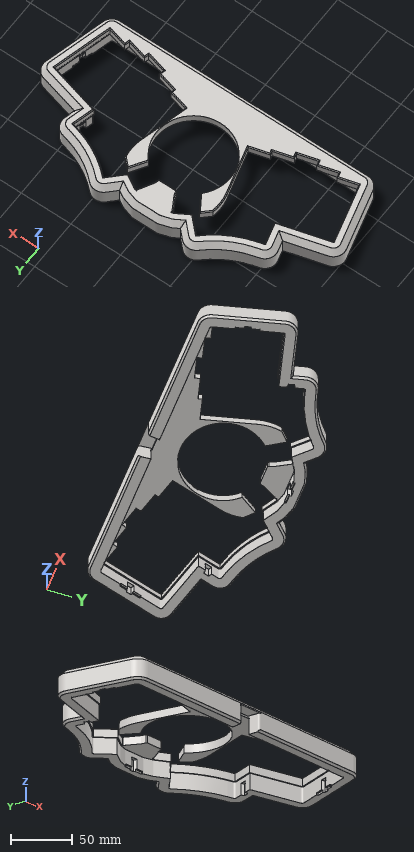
import cadquery as cq
import math

LENGTH = 303.7
WIDTH = 141.5
HEIGHT = 22.8
RIM = 11.5
PLATE_BOTTOM = 14.5
PLATE_LIP = 1.0
CAVITY_CORNER = 1.8
TOP_CHAMFER = 5.2
FOOT_CHAMFER = 1.8
OPENING_CHAMFER = 1.0

WING_ANGLE = 15
WING_SINE = math.sin(math.radians(WING_ANGLE))
WING_COSINE = math.cos(math.radians(WING_ANGLE))
WING_SHOULDER = -66.2
WING_TOP = 103.3
WING_SIDE = (WING_TOP * WING_SINE - (LENGTH / 2 - RIM)) / WING_COSINE
WING_FRONT = (RIM - WING_SIDE * WING_SINE) / WING_COSINE
SHOULDER_TOP = 125.0
SHOULDER_FLAT = 6.0
INNER_SIDE = -20.5
KEY_PITCH = 19.5
COLUMN_FRONTS = [44.5, 41.0, 36.0, 40.7, 45.5]

PEAK = (-46.8, WIDTH - RIM)
VALLEY = (-32.5, 115.7)
ARCH_SHOULDER = (-19.7, 123.3)
ARCH_TOP = (-11.0, 126.0)

CENTRE_Y = 69.8
CENTRE_RADIUS = 37.0
HORN_STRAIGHT_END = 92.5
HORN_BULGE = (-45.2, 95.0)
HORN_SHOULDER = (-44.3, 104.0)
HORN_TIP = (-36.0, 111.8)
HORN_HEEL = (-25.8, 95.7)
TAB_ROOT = (-18.2, 123.3)
TAB_WAIST = (-10.5, 110.0)
TAB_END = (-9.5, 105.0)
TAB_CORNER = 1.0

NOTCH_INNER_HALF = 9.7
NOTCH_OUTER_HALF = 10.5
NOTCH_TOP = 16.5
NOTCH_RADIUS = 1.8

SLOT_MOUTH = 6.5
SLOT_FLOOR = 4.5
SLOT_DEPTH = 3.0
SLOT_TOP = 10.3
RELIEF_LENGTH = 20.0
RELIEF_DEPTH = 1.5
RELIEF_HEIGHT = 1.8


def wing(across, along):
    """Point of the left wing, from its own turned axes."""
    return (
        across * WING_COSINE - along * WING_SINE,
        across * WING_SINE + along * WING_COSINE,
    )


def both_sides(half):
    """The half left of the YZ plane joined with its mirror image."""
    return half.union(half.mirror("YZ"))


def left_frame_opening():
    """Left half of the opening inside the rim, before the deck and the tab fill parts of it."""
    return (
        cq.Workplane("XY")
        .moveTo(0, RIM)
        .lineTo(*wing(WING_SIDE, WING_FRONT))
        .lineTo(*wing(WING_SIDE, WING_TOP))
        .lineTo(*wing(WING_SHOULDER, WING_TOP))
        .lineTo(*wing(WING_SHOULDER, SHOULDER_TOP))
        .lineTo(*wing(WING_SHOULDER + SHOULDER_FLAT, SHOULDER_TOP))
        .tangentArcPoint(PEAK, relative=False)
        .lineTo(*VALLEY)
        .lineTo(*ARCH_SHOULDER)
        .lineTo(*ARCH_TOP)
        .lineTo(0, ARCH_TOP[1])
        .close()
        .extrude(HEIGHT)
    )


def grown(prism, distance, height=HEIGHT, corners="arc"):
    """The prism with its outline moved outwards, or inwards if the distance is negative."""
    outline = prism.faces("<Z").wires().val()
    return cq.Workplane("XY").add(outline.offset2D(distance, corners)).toPending().extrude(height)


def left_deck():
    """Front deck with its stepped key edge and the horn beside the centre opening."""
    deck = cq.Workplane("XY").moveTo(0, 0).lineTo(0, HORN_HEEL[1]).lineTo(*HORN_HEEL)
    deck = deck.lineTo(*HORN_TIP).lineTo(*HORN_SHOULDER)
    deck = deck.threePointArc(HORN_BULGE, wing(INNER_SIDE, HORN_STRAIGHT_END))
    for column, front in enumerate(COLUMN_FRONTS):
        inner = INNER_SIDE - column * KEY_PITCH
        deck = deck.lineTo(*wing(inner, front)).lineTo(*wing(inner - KEY_PITCH, front))
    outer = INNER_SIDE - len(COLUMN_FRONTS) * KEY_PITCH
    return deck.lineTo(*wing(outer, 0)).close().extrude(HEIGHT)


def left_tab():
    """Left half of the tapered tab that reaches from the rear rim towards the centre."""
    end_x, end_y = TAB_END
    return (
        cq.Workplane("XY")
        .polyline(
            [
                (0, end_y),
                (end_x + TAB_CORNER, end_y),
                (end_x, end_y + TAB_CORNER),
                TAB_WAIST,
                TAB_ROOT,
                (TAB_ROOT[0], PEAK[1]),
                (0, PEAK[1]),
            ]
        )
        .close()
        .extrude(HEIGHT)
    )


def placed(cutter, point, angle):
    """The cutter turned so that its +X axis points at the angle, and moved to the point."""
    return cutter.rotate((0, 0, 0), (0, 0, 1), angle).translate((*point, 0))


def latch_slot():
    """Slot that narrows towards its floor, cut along +X into a wall face at X = 0."""
    return (
        cq.Workplane("XY")
        .polyline(
            [
                (0, -SLOT_MOUTH / 2),
                (SLOT_DEPTH, -SLOT_FLOOR / 2),
                (SLOT_DEPTH, SLOT_FLOOR / 2),
                (0, SLOT_MOUTH / 2),
            ]
        )
        .close()
        .extrude(SLOT_TOP)
    )


def slot_relief():
    """Shallow recess along the bottom edge of a wall, centred on a latch slot."""
    return cq.Workplane("XY").rect(2 * RELIEF_DEPTH, RELIEF_LENGTH).extrude(RELIEF_HEIGHT)


def cable_notch():
    """Notch through the front wall, widening outwards to a round on both sides."""
    mouth = NOTCH_OUTER_HALF + NOTCH_RADIUS
    return (
        cq.Workplane("XY")
        .moveTo(-mouth, 0)
        .radiusArc((-NOTCH_OUTER_HALF, NOTCH_RADIUS), -NOTCH_RADIUS)
        .lineTo(-NOTCH_INNER_HALF, RIM)
        .lineTo(NOTCH_INNER_HALF, RIM)
        .lineTo(NOTCH_OUTER_HALF, NOTCH_RADIUS)
        .radiusArc((mouth, 0), -NOTCH_RADIUS)
        .close()
        .extrude(NOTCH_TOP)
    )


def on_centre_circle(edge):
    return edge.geomType() == "CIRCLE" and math.isclose(edge.radius(), CENTRE_RADIUS)


frame_opening = both_sides(left_frame_opening()).clean()
cavity_core = grown(frame_opening, PLATE_LIP - CAVITY_CORNER, corners="intersection")
cavity = grown(cavity_core, CAVITY_CORNER, height=PLATE_BOTTOM)
centre = cq.Workplane("XY").center(0, CENTRE_Y).circle(CENTRE_RADIUS).extrude(HEIGHT)
deck = both_sides(left_deck()).cut(centre)
tab = both_sides(left_tab()).clean()

body = grown(frame_opening, RIM)
body = body.faces(">Z").edges().chamfer(TOP_CHAMFER)
body = body.faces("<Z").edges().chamfer(FOOT_CHAMFER)
body = body.cut(frame_opening.cut(deck).cut(tab))
rim_edges = body.faces(">Z").val().innerWires()[0].Edges()
edges_to_chamfer = [edge for edge in rim_edges if not on_centre_circle(edge)]
body = body.newObject(edges_to_chamfer).chamfer(OPENING_CHAMFER)

body = body.cut(cavity)
body = body.cut(cable_notch())

cavity_side = WING_SIDE - PLATE_LIP
cavity_shoulder = WING_SHOULDER - PLATE_LIP
side_middle = wing(cavity_side, (WING_FRONT + WING_TOP) / 2)
shoulder_middle = wing(cavity_shoulder, (WING_TOP + SHOULDER_TOP) / 2)
rear_middle = (0, ARCH_TOP[1] + PLATE_LIP)
outwards = 180 + WING_ANGLE
body = body.cut(both_sides(placed(latch_slot().union(slot_relief()), side_middle, outwards)))
body = body.cut(both_sides(placed(latch_slot(), shoulder_middle, outwards)))
body = body.cut(placed(latch_slot().union(slot_relief()), rear_middle, 90))

result = body